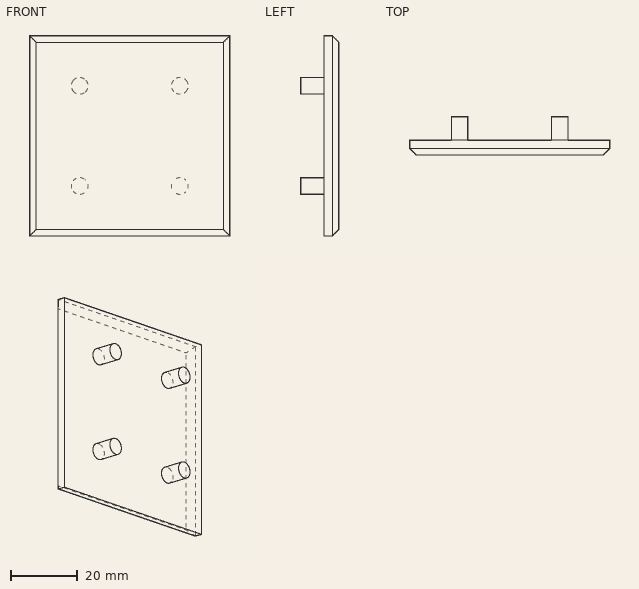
import cadquery as cq

plate_side = 60.0
plate_thickness = 4.5
bevel = 2.0

peg_diameter = 5.0
peg_length = 7.0
peg_spacing = 30.0


def make_plate():
    """Plate with its front face on Y = 0, bevelled around the front edges."""
    plate = cq.Workplane("XY").box(
        plate_side, plate_thickness, plate_side, centered=(True, False, True)
    )
    return plate.faces("<Y").edges().chamfer(bevel)


def add_pegs(plate):
    """Square pattern of pegs standing on the back face, pointing along +Y."""
    return (
        plate.faces(">Y")
        .workplane(centerOption="CenterOfBoundBox")
        .rect(peg_spacing, peg_spacing, forConstruction=True)
        .vertices()
        .circle(peg_diameter / 2)
        .extrude(peg_length)
    )


result = add_pegs(make_plate())